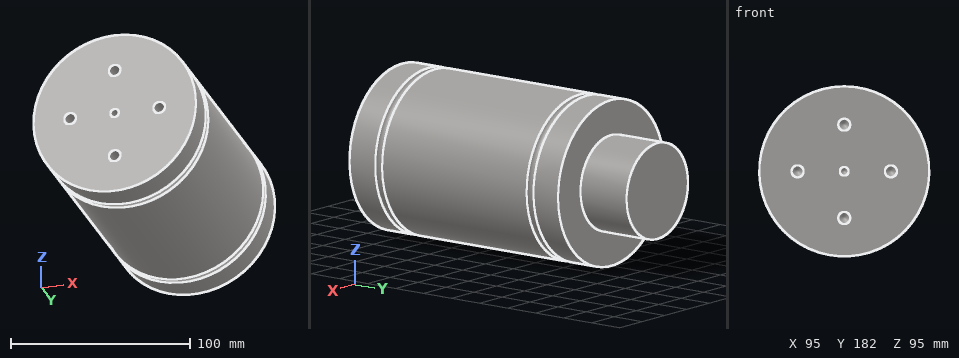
import cadquery as cq
import math

total_length = 182.0
body_diameter = 95.0
body_length = 149.0
rod_diameter = 55.0

groove_width = 5.0
lower_groove_position = 21.0
upper_groove_position = 129.0

mount_hole_diameter = 6.7
mount_hole_depth = 12.7
mount_circle_radius = 26.0
mount_hole_count = 4
center_hole_diameter = 5.0
center_hole_depth = 10.0
drill_point_angle = 118.0


def cylinder_along_y(diameter, start, length):
    """Solid cylinder on the Y axis from Y = start."""
    axis_start = cq.Vector(0, start, 0)
    return cq.Workplane(cq.Solid.makeCylinder(diameter / 2, length, axis_start, cq.Vector(0, 1, 0)))


def groove_ring(position):
    """Torus centred on the body surface; cutting it leaves a half-round groove."""
    center = cq.Vector(0, position, 0)
    return cq.Workplane(cq.Solid.makeTorus(body_diameter / 2, groove_width / 2, center, cq.Vector(0, 1, 0)))


def drilled_hole(diameter, depth, x, z):
    """Cutter for a blind hole from the base face: straight bore and conical drill point."""
    radius = diameter / 2
    point_length = radius / math.tan(math.radians(drill_point_angle / 2))
    profile = (
        cq.Workplane("XY")
        .lineTo(radius, 0)
        .lineTo(radius, depth)
        .lineTo(0, depth + point_length)
        .close()
    )
    return profile.revolve(360, (0, 0, 0), (0, 1, 0)).translate((x, 0, z))


body = cylinder_along_y(body_diameter, 0, body_length)
rod = cylinder_along_y(rod_diameter, body_length, total_length - body_length)
result = body.union(rod)

for groove_position in (lower_groove_position, upper_groove_position):
    result = result.cut(groove_ring(groove_position))

result = result.cut(drilled_hole(center_hole_diameter, center_hole_depth, 0, 0))
for index in range(mount_hole_count):
    angle = 2 * math.pi * index / mount_hole_count
    hole_x = mount_circle_radius * math.cos(angle)
    hole_z = mount_circle_radius * math.sin(angle)
    result = result.cut(drilled_hole(mount_hole_diameter, mount_hole_depth, hole_x, hole_z))